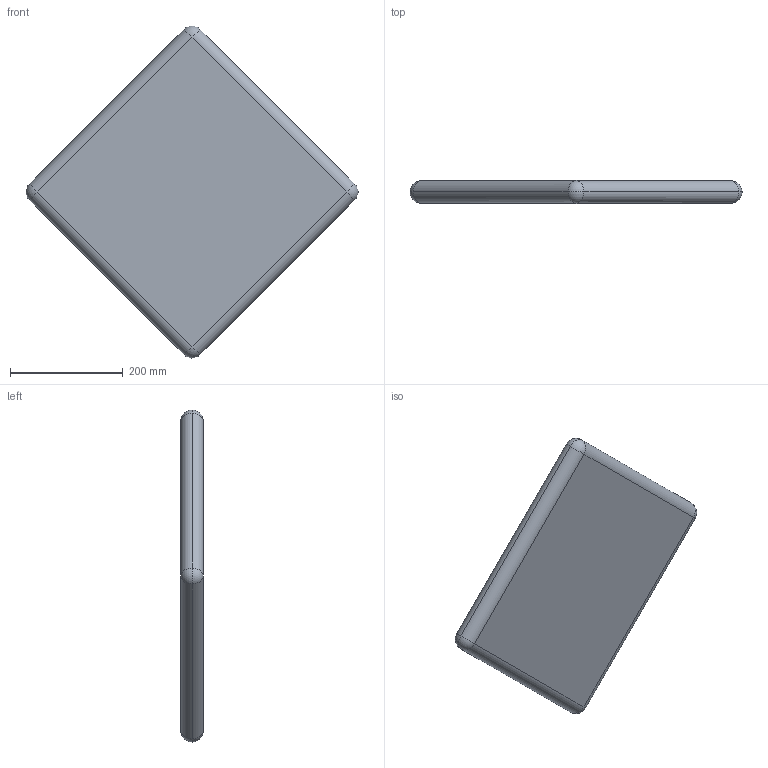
import cadquery as cq
import math

thickness = 40.0
face_side = 388.29
tilt = 45.0

edge_radius = thickness / 2
half_side = face_side / 2
arc_middle = edge_radius * math.sqrt(0.5)
side_count = 4
quarter_turn = 360.0 / side_count


def turn_about_y(shape, angle):
    return shape.rotate((0, 0, 0), (0, 1, 0), angle)


def quarter_disc(z):
    """Quarter circle on the +X side of the square, in the XY plane at height z."""
    return (
        cq.Workplane("XY", origin=(half_side, 0, z))
        .lineTo(edge_radius, 0)
        .threePointArc((arc_middle, arc_middle), (0, edge_radius))
        .close()
    )


def side_rim():
    """Quarter-round rim along the +X side of the square."""
    return quarter_disc(-half_side).extrude(face_side)


def corner_ball():
    """Eighth of a ball joining the +X rim to the +Z rim."""
    return quarter_disc(half_side).revolve(quarter_turn, (0, 0, 0), (0, -1, 0))


def half_plate():
    """Half of the plate on the +Y side of its middle plane."""
    half = cq.Workplane("XY").box(face_side, edge_radius, face_side, centered=(True, False, True))
    for side in range(side_count):
        angle = side * quarter_turn
        half = half.union(turn_about_y(side_rim(), angle))
        half = half.union(turn_about_y(corner_ball(), angle))
    return half


back_half = half_plate()
plate = back_half.union(back_half.mirror("XZ"), clean=False)

result = turn_about_y(plate, tilt)